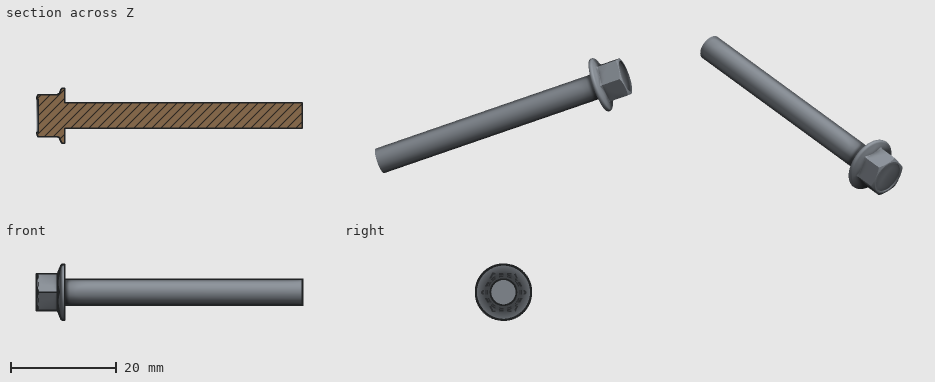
import cadquery as cq
import math

bolt_length = 50.4
shank_diameter = 4.95

flange_diameter = 10.6
flange_back = 5.4
rim_round = 0.5
rim_crest_setback = 0.3
cone_slope = 22.0
cone_top_radius = 3.0

across_flats = 7.0
flare_start = 4.0
flare_length = 0.3
flare_width = 0.15
crown_radius = 3.4
crown_angle = 65.0

recess_depth = 0.3
recess_radius = 3.05


def hexagon(flats, start):
    """Hexagon across the X axis, with two corners on the Y axis."""
    corner_diameter = flats / math.cos(math.radians(30))
    return cq.Workplane("YZ").workplane(offset=start).polygon(6, corner_diameter)


def revolve_about_x(points):
    """Turn a closed (X, radius) outline about the X axis."""
    return cq.Workplane("XY").polyline(points).close().revolve(360, (0, 0, 0), (1, 0, 0))


def make_head():
    """Hexagon with a conical crown, a flared foot and a recessed end."""
    prism = hexagon(across_flats, 0).extrude(flange_back)

    trim_radius = flange_diameter / 2
    trim_length = (trim_radius - crown_radius) * math.tan(math.radians(90 - crown_angle))
    envelope = revolve_about_x([
        (0, 0),
        (0, crown_radius),
        (trim_length, trim_radius),
        (flange_back, trim_radius),
        (flange_back, 0),
    ])

    flare_angle = math.degrees(math.atan2(flare_width, flare_length))
    flare = hexagon(across_flats, flare_start).extrude(flare_length, taper=-flare_angle)

    recess = cq.Workplane("YZ").circle(recess_radius).extrude(recess_depth)
    return prism.intersect(envelope).union(flare).cut(recess)


def make_flange_and_shank():
    """Conical flange with a rounded rim, and the plain shank behind it."""
    shank_radius = shank_diameter / 2
    flange_radius = flange_diameter / 2
    round_x = flange_back - rim_crest_setback
    round_radius = flange_radius - rim_round

    slope = math.radians(cone_slope)
    tangent_x = round_x - rim_round * math.cos(slope)
    tangent_radius = round_radius + rim_round * math.sin(slope)
    back_edge_radius = round_radius + math.sqrt(rim_round**2 - rim_crest_setback**2)
    cone_top_x = tangent_x - (tangent_radius - cone_top_radius) * math.tan(slope)

    profile = (
        cq.Workplane("XY")
        .moveTo(cone_top_x, 0)
        .lineTo(cone_top_x, cone_top_radius)
        .lineTo(tangent_x, tangent_radius)
        .threePointArc((round_x, flange_radius), (flange_back, back_edge_radius))
        .lineTo(flange_back, shank_radius)
        .lineTo(bolt_length, shank_radius)
        .lineTo(bolt_length, 0)
        .close()
    )
    return profile.revolve(360, (0, 0, 0), (1, 0, 0))


result = make_head().union(make_flange_and_shank())